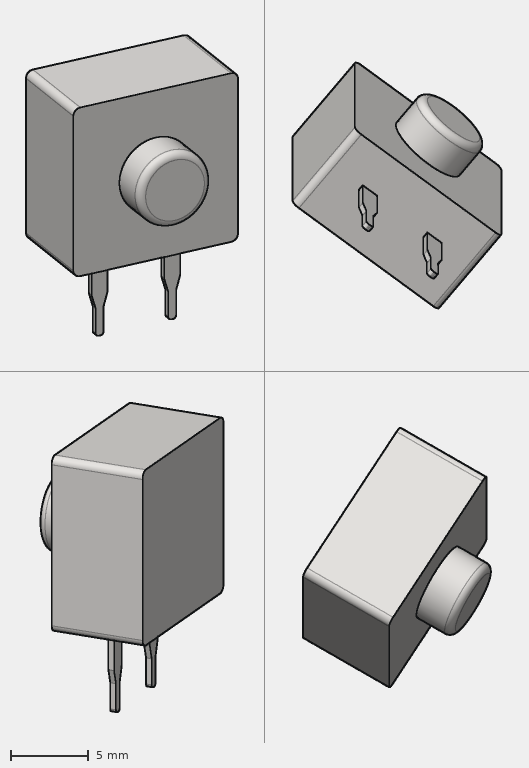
import cadquery as cq

body_side = 12.0
body_depth = 6.5
body_corner_radius = 0.5

overall_depth = 9.1
button_diameter = 5.3
button_edge_radius = 0.5

overall_height = 18
pin_spacing = 5.3
pin_center_x = 3.58
pin_thickness = 0.41
pin_root_width = 1.17
pin_tip_width = 0.6
pin_root_length = 2.97
pin_taper_length = 0.99
pin_tip_radius = 0.25

button_length = overall_depth - body_depth
pin_length = overall_height - body_side
pin_bottom = -body_side / 2 - pin_length


def make_body():
    block = cq.Workplane("YZ").rect(body_side, body_side).extrude(body_depth)
    return block.edges("|X").fillet(body_corner_radius)


def make_button():
    face = cq.Workplane("YZ").workplane(offset=body_depth)
    button = face.circle(button_diameter / 2).extrude(button_length)
    return button.faces(">X").edges().fillet(button_edge_radius)


def make_pin(center_y):
    """Flat pin that tapers from a wide root to a narrow, rounded tip."""
    root_z = -body_side / 2
    taper_start_z = root_z - pin_root_length
    taper_end_z = taper_start_z - pin_taper_length
    half_root = pin_root_width / 2
    half_tip = pin_tip_width / 2
    outline = [
        (-half_root, root_z),
        (half_root, root_z),
        (half_root, taper_start_z),
        (half_tip, taper_end_z),
        (half_tip, pin_bottom),
        (-half_tip, pin_bottom),
        (-half_tip, taper_end_z),
        (-half_root, taper_start_z),
    ]
    back_face = cq.Workplane("YZ").workplane(offset=pin_center_x - pin_thickness / 2)
    pin = back_face.polyline(outline).close().extrude(pin_thickness)
    pin = pin.faces("<Z").edges("|X").fillet(pin_tip_radius)
    return pin.translate((0, center_y, 0))


result = make_body().union(make_button())
for side in (-1, 1):
    result = result.union(make_pin(side * pin_spacing / 2))